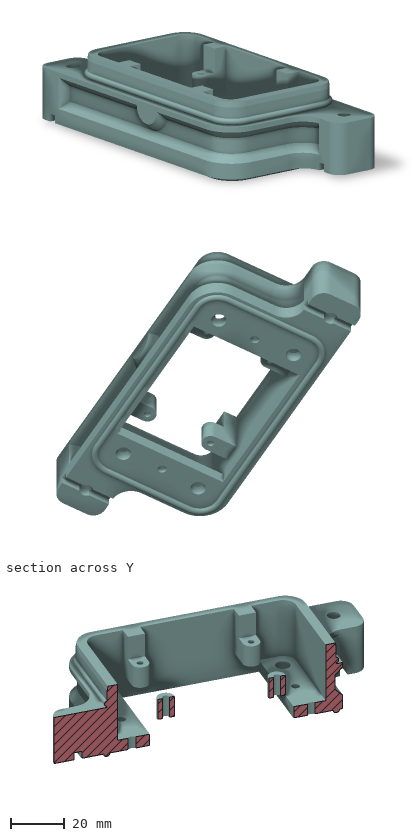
import cadquery as cq
import math


flange_length = 96.0
flange_width = 58.0
flange_height = 20.0
flange_corner_radius = 12.0
overall_length = 133.0
tab_width = 20.0
tab_corner_radius = 5.0
tab_root_radius = 8.0
tab_hole_x = 57.0
tab_hole_y = 19.5
tab_hole_diameter = 5.0

slot_x = 57.0
slot_width = 3.0
slot_depth = 3.0

groove_bottom = 6.0
groove_top = 18.0
groove_depth = 3.0
groove_front_end_x = 53.3
groove_root_end_x = 55.5
groove_root_end_run = 3.8

stop_radius = 6.0

rim_length = 91.0
rim_width = 52.0
rim_height = 9.0
rim_corner_radius = 8.5
rim_taper_height = 2.0
rim_taper_inset = 0.4

bead_radius = 1.25
rim_bead_inset = 0.25
rim_bead_height = flange_height + 1.5

cavity_length = 82.4
cavity_width = 45.2
cavity_corner_radius = 5.0
ledge_thickness = 5.0
opening_length = 57.0
ledge_hole_x = 35.5
ledge_hole_y = 16.0
ledge_hole_diameter = 5.7
ledge_pin_x = 34.5
ledge_pin_diameter = 3.3

post_x = 22.0
post_y = 13.5
post_width = 6.8
post_hole_diameter = 2.6
post_bottom = 10.5
post_step = 19.25
rib_end_y = 17.4

half_length = flange_length / 2
half_width = flange_width / 2
rim_top = flange_height + rim_height
overlap = 5.0


def half_turn(shape):
    return shape.rotate((0, 0, 0), (0, 0, 1), 180)


def rounded_block(length, width, radius, bottom, top):
    block = cq.Workplane("XY").workplane(offset=bottom).rect(length, width).extrude(top - bottom)
    return block.edges("|Z").fillet(radius)


def cylinder(x, y, diameter, bottom, top):
    base = cq.Workplane("XY").workplane(offset=bottom).center(x, y)
    return base.circle(diameter / 2).extrude(top - bottom)


def centred_box(length, width, bottom, top):
    return cq.Workplane("XY").workplane(offset=bottom).rect(length, width).extrude(top - bottom)


def round_corner(sketch, centre, radius, start_angle, end_angle):
    """Adds a straight line to an arc around centre, then the arc, between two angles in degrees."""
    def on_arc(angle):
        turn = math.radians(angle)
        return (centre[0] + radius * math.cos(turn), centre[1] + radius * math.sin(turn))

    start = on_arc(start_angle)
    middle = on_arc((start_angle + end_angle) / 2)
    return sketch.lineTo(*start).threePointArc(middle, on_arc(end_angle))


def flange_outline(inset, level):
    """Closed wire of the flange outline at the given level, moved inward on every side."""
    tab_end = overall_length / 2 - tab_corner_radius
    tab_inner_y = half_width - tab_width
    corner_x = half_length - flange_corner_radius
    corner_y = half_width - flange_corner_radius
    root_x = half_length + tab_root_radius
    root_y = tab_inner_y - tab_root_radius
    convex = tab_corner_radius - inset
    concave = tab_root_radius + inset
    large = flange_corner_radius - inset

    sketch = cq.Workplane("XY").workplane(offset=level).moveTo(0, -half_width + inset)
    for side in (1, -1):
        base = 0 if side == 1 else 180
        sketch = round_corner(sketch, (side * corner_x, -side * corner_y), large, base - 90, base)
        sketch = round_corner(sketch, (side * root_x, side * root_y), concave, base + 180, base + 90)
        sketch = round_corner(
            sketch, (side * tab_end, side * (tab_inner_y + tab_corner_radius)), convex, base - 90, base
        )
        sketch = round_corner(
            sketch, (side * tab_end, side * (half_width - tab_corner_radius)), convex, base, base + 90
        )
    return sketch.close()


def flange_slab(inset, bottom, top):
    return flange_outline(inset, bottom).extrude(top - bottom)


def flange_taper(bottom, bottom_inset, top, top_inset):
    lower = flange_outline(bottom_inset, bottom).wires().val()
    upper = flange_outline(top_inset, top).wires().val()
    return cq.Workplane(cq.Solid.makeLoft([lower, upper], True))


def groove_end_plug():
    """Full-depth part of the left tab, where the groove stops with sloping ends."""
    root_y = -half_width + tab_width
    far_x = -overall_length
    plug = (
        cq.Workplane("XY")
        .workplane(offset=groove_bottom)
        .moveTo(far_x, -half_width - overlap)
        .lineTo(-groove_front_end_x - overlap, -half_width - overlap)
        .lineTo(-groove_front_end_x + groove_depth, -half_width + groove_depth)
        .lineTo(-groove_root_end_x + groove_root_end_run, root_y - groove_depth)
        .lineTo(-groove_root_end_x, root_y)
        .lineTo(far_x, root_y)
        .close()
        .extrude(groove_top - groove_bottom)
    )
    return plug.intersect(flange_slab(0, groove_bottom, groove_top))


def groove_stop():
    """Lower half of a cone that widens from the front face to the groove floor."""
    cone = cq.Solid.makeCone(
        stop_radius,
        stop_radius + groove_depth,
        groove_depth,
        pnt=cq.Vector(0, -half_width, groove_top),
        dir=cq.Vector(0, 1, 0),
    )
    return cq.Workplane(cone).intersect(centred_box(flange_length, flange_width, 0, groove_top))


def make_flange():
    floor_bottom = groove_bottom + groove_depth
    floor_top = groove_top - groove_depth
    flange = flange_slab(0, 0, groove_bottom)
    flange = flange.union(flange_taper(groove_bottom, 0, floor_bottom, groove_depth))
    flange = flange.union(flange_slab(groove_depth, floor_bottom, floor_top))
    flange = flange.union(flange_taper(floor_top, groove_depth, groove_top, 0))
    flange = flange.union(flange_slab(0, groove_top, flange_height))
    for detail in (groove_end_plug(), groove_stop()):
        flange = flange.union(detail).union(half_turn(detail))
    return flange


def make_bead(level, inset):
    """Round bead along the rim outline, its centre line moved inward by inset."""
    width = rim_width - 2 * inset
    block = rounded_block(rim_length - 2 * inset, width, rim_corner_radius - inset, level, level + bead_radius)
    loop = block.faces("<Z").wires().val()
    section = cq.Workplane("YZ", origin=(0, -width / 2, level)).circle(bead_radius)
    return section.sweep(cq.Workplane(loop))


def make_rim():
    rim = rounded_block(rim_length, rim_width, rim_corner_radius, flange_height, rim_top)
    rim = rim.faces(">Z").edges().chamfer(rim_taper_height, rim_taper_inset)
    return rim.union(make_bead(0, 0)).union(make_bead(rim_bead_height, rim_bead_inset))


def make_cavity():
    pocket = rounded_block(cavity_length, cavity_width, cavity_corner_radius, ledge_thickness, rim_top)
    opening = centred_box(opening_length, cavity_width, 0, rim_top)
    return pocket.union(opening)


def screw_post(x_side, y_side):
    """Full-height rib on the wall with a lower rounded post in front of it."""
    wall_overlap = (rim_width - cavity_width) / 4
    outer_y = cavity_width / 2 + wall_overlap
    centre_x = x_side * post_x

    def bar(end_y, top):
        length = outer_y - end_y
        block = centred_box(post_width, length, post_bottom, top)
        return block.translate((centre_x, y_side * (end_y + length / 2), 0))

    nose = cylinder(centre_x, y_side * post_y, post_width, post_bottom, post_step)
    hole = cylinder(centre_x, y_side * post_y, post_hole_diameter, post_bottom, post_step)
    return bar(rib_end_y, rim_top).union(bar(post_y, post_step)).union(nose).cut(hole)


def tab_slot(side):
    return centred_box(slot_width, flange_width, 0, slot_depth).translate((side * slot_x, 0, 0))


def tab_hole(side):
    return cylinder(side * tab_hole_x, side * tab_hole_y, tab_hole_diameter, 0, flange_height)


def ledge_holes(side):
    """Two large holes and the small one between them, through one floor ledge."""
    holes = cylinder(side * ledge_pin_x, 0, ledge_pin_diameter, 0, ledge_thickness)
    for y in (-ledge_hole_y, ledge_hole_y):
        holes = holes.union(cylinder(side * ledge_hole_x, y, ledge_hole_diameter, 0, ledge_thickness))
    return holes


sides = (-1, 1)
result = make_flange().union(make_rim()).cut(make_cavity())
for x_side in sides:
    for y_side in sides:
        result = result.union(screw_post(x_side, y_side))
    for cutter in (tab_slot(x_side), tab_hole(x_side), ledge_holes(x_side)):
        result = result.cut(cutter)